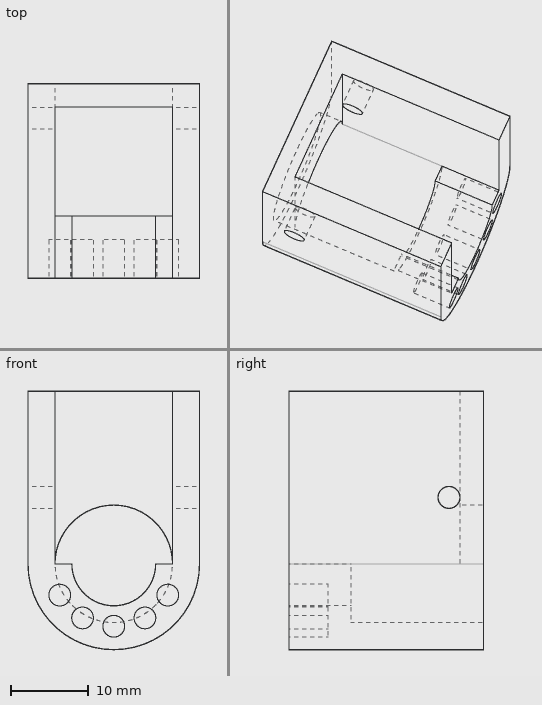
import cadquery as cq
import math

width = 22.05
depth = 25.0
height = 33.2
outer_radius = width / 2

slot_width = 15.07
back_wall = 3.02
lip_depth = 8.0
lip_bore_diameter = 10.72

hole_diameter = 2.8
front_hole_count = 5
front_hole_spacing = 30.0
front_hole_circle_radius = 8.0
front_hole_depth = 5.0
side_hole_from_back = 4.45
side_hole_height = 19.55

wall_top = height - outer_radius


def cylinder_along_y(diameter, start, length, x=0, z=0):
    axis_start = cq.Vector(x, start, z)
    return cq.Workplane(obj=cq.Solid.makeCylinder(diameter / 2, length, axis_start, cq.Vector(0, 1, 0)))


def make_body():
    upper_block = cq.Workplane("XY").box(width, depth, wall_top, centered=(True, False, False))
    return upper_block.union(cylinder_along_y(width, 0, depth))


def make_slot():
    return cq.Workplane("XY").box(slot_width, depth - back_wall, wall_top, centered=(True, False, False))


def make_side_hole():
    axis_start = cq.Vector(-width / 2, depth - side_hole_from_back, side_hole_height - outer_radius)
    return cq.Workplane(obj=cq.Solid.makeCylinder(hole_diameter / 2, width, axis_start, cq.Vector(1, 0, 0)))


result = make_body().cut(make_slot())

result = result.cut(cylinder_along_y(slot_width, lip_depth, depth - lip_depth))
result = result.cut(cylinder_along_y(lip_bore_diameter, 0, lip_depth))

for index in range(front_hole_count):
    angle = math.radians((index - (front_hole_count - 1) / 2) * front_hole_spacing)
    hole_x = front_hole_circle_radius * math.sin(angle)
    hole_z = -front_hole_circle_radius * math.cos(angle)
    result = result.cut(cylinder_along_y(hole_diameter, 0, front_hole_depth, hole_x, hole_z))

result = result.cut(make_side_hole())

result = result.translate((0, 0, outer_radius))